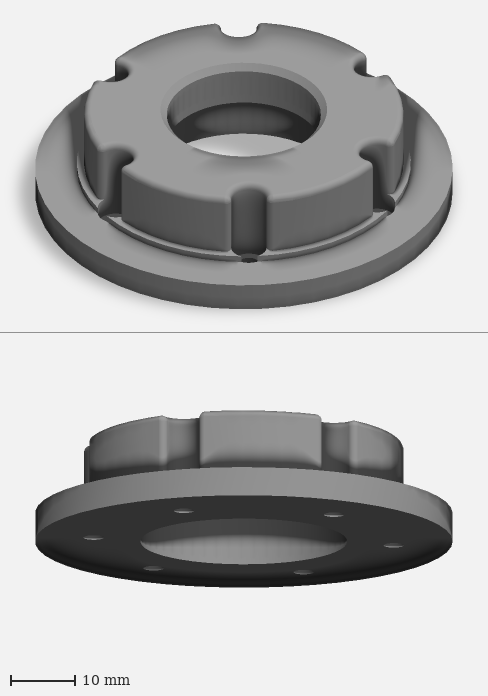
import cadquery as cq
flange_diameter = 65.0
flange_height = 4.5
step_diameter = 52.0
step_height = 1.05
boss_diameter = 49.7
total_height = 15.5
edge_round = 1.0

bore_diameter = 24.0
bore_chamfer = 1.0
counterbore_diameter = 32.2
counterbore_depth = 8.65

screw_count = 6
screw_circle_diameter = 47.0
screw_hole_diameter = 3.2
notch_diameter = 5.5
notch_corner_round = 0.9
notch_floor = 2.5


def cylinder(diameter, bottom, top):
    return cq.Workplane("XY").workplane(offset=bottom).circle(diameter / 2).extrude(top - bottom)


def screw_cylinders(diameter, bottom, top):
    return (
        cq.Workplane("XY")
        .workplane(offset=bottom)
        .polarArray(screw_circle_diameter / 2, 0, 360, screw_count)
        .circle(diameter / 2)
        .extrude(top - bottom)
    )


notches = screw_cylinders(notch_diameter, notch_floor, total_height)
step_top = flange_height + step_height
boss = cylinder(boss_diameter, step_top, total_height).cut(notches)
boss = boss.edges("|Z").fillet(notch_corner_round)
boss = boss.faces(">Z").edges().fillet(edge_round)

base = cylinder(flange_diameter, 0, flange_height)
step = cylinder(step_diameter, flange_height, step_top)
base = base.union(step).cut(notches)

bore_radius = bore_diameter / 2
counterbore_radius = counterbore_diameter / 2
bore = (
    cq.Workplane("XZ")
    .moveTo(0, 0)
    .lineTo(counterbore_radius, 0)
    .lineTo(counterbore_radius, counterbore_depth)
    .lineTo(bore_radius, counterbore_depth)
    .lineTo(bore_radius, total_height - bore_chamfer)
    .lineTo(bore_radius + bore_chamfer, total_height)
    .lineTo(0, total_height)
    .close()
    .revolve(360, (0, 0, 0), (0, 1, 0))
)
screw_holes = screw_cylinders(screw_hole_diameter, 0, total_height)
result = base.union(boss).cut(bore).cut(screw_holes)